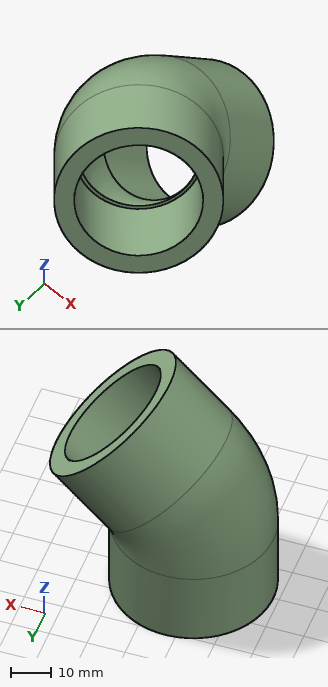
import cadquery as cq
import math

outer_diameter = 42.0
socket_diameter = 32.0
bore_diameter = 30.0
bend_angle = 45.0
end_length = 20.9
socket_depth = 22.4
inside_bend_radius = 1.0

bend_radius = inside_bend_radius + outer_diameter / 2

tilt = math.radians(bend_angle)
bend_end = (bend_radius * (1 - math.cos(tilt)), bend_radius * math.sin(tilt))
direction = (math.sin(tilt), math.cos(tilt))
upper_mouth = tuple(p + end_length * d for p, d in zip(bend_end, direction))


def straight(diameter, length, origin, axis):
    """Cylinder starting at an (x, z) origin along an (x, z) axis."""
    return cq.Workplane(
        cq.Solid.makeCylinder(
            diameter / 2, length,
            cq.Vector(origin[0], 0, origin[1]), cq.Vector(axis[0], 0, axis[1]),
        )
    )


def bent_rod(diameter):
    """Rod following the whole centre line, mouth to mouth."""
    bend = (
        cq.Workplane("XY")
        .circle(diameter / 2)
        .revolve(bend_angle, (bend_radius, 0, 0), (bend_radius, 1, 0))
    )
    lower = straight(diameter, end_length, (0, -end_length), (0, 1))
    upper = straight(diameter, end_length, bend_end, direction)
    return bend.union(lower).union(upper)


elbow = bent_rod(outer_diameter).cut(bent_rod(bore_diameter))

lower_socket = straight(socket_diameter, socket_depth, (0, -end_length), (0, 1))
upper_socket = straight(
    socket_diameter, socket_depth, upper_mouth, tuple(-d for d in direction)
)

result = elbow.cut(lower_socket).cut(upper_socket)